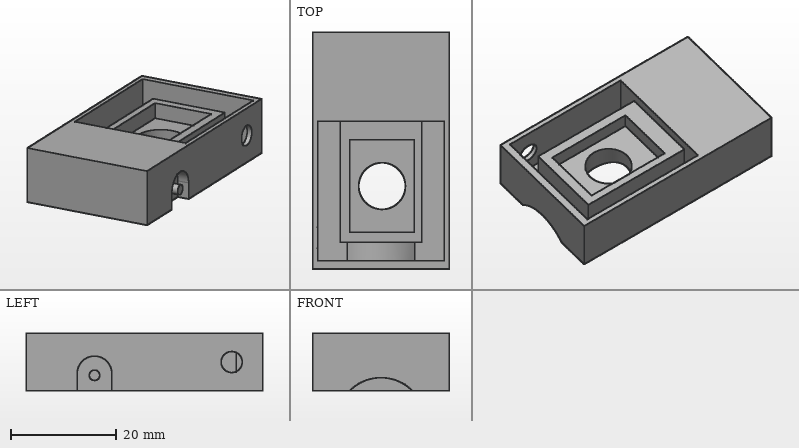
import cadquery as cq

WIDTH, LENGTH, HEIGHT = 26.0, 45.0, 11.0

SIDE_WALL = 1.0
FRONT_WALL = 1.55
POCKET_BACK = 28.1
FLOOR = 1.0

PEDESTAL_LEFT, PEDESTAL_RIGHT = 5.2, 20.8
PEDESTAL_FRONT = 5.05
PEDESTAL_TOP = 8.9

RECESS_LEFT, RECESS_RIGHT = 7.1, 19.3
RECESS_FRONT, RECESS_BACK = 6.98, 24.52
RECESS_FLOOR = 5.85
HOLE_DIAMETER = 8.8

GROOVE_WIDTH = 11.95
GROOVE_HEIGHT = 2.5
SHELL = FLOOR
GROOVE_RADIUS = ((GROOVE_WIDTH / 2) ** 2 + GROOVE_HEIGHT ** 2) / (2 * GROOVE_HEIGHT)
GROOVE_AXIS_Z = GROOVE_HEIGHT - GROOVE_RADIUS

SIDE_HOLE_DIAMETER = 4.0
SIDE_HOLE_Y, SIDE_HOLE_Z = 5.95, 5.5

NOTCH_WIDTH = 6.55
NOTCH_TOP = 6.6
NOTCH_DEPTH = 2.35
NOTCH_Y = 32.0
PIN_DIAMETER = 2.0
PIN_Z = 2.95


def box(x_range, y_range, z_range):
    """Box between the given limits."""
    sizes = [high - low for low, high in (x_range, y_range, z_range)]
    corner = (x_range[0], y_range[0], z_range[0])
    return cq.Workplane("XY").box(*sizes, centered=False).translate(corner)


def cylinder_along_x(diameter, y, z, x_start, x_end):
    """Cylinder parallel to X."""
    return cq.Workplane("YZ", origin=(x_start, y, z)).circle(diameter / 2).extrude(x_end - x_start)


def groove_cylinder(radius, y_start, y_end):
    """Cylinder about the groove axis, parallel to Y."""
    plane = cq.Workplane("XZ", origin=(WIDTH / 2, y_start, GROOVE_AXIS_Z))
    return plane.circle(radius).extrude(y_start - y_end)


def pocket():
    """Pocket space around the pedestal and above the groove shell."""
    space = box((SIDE_WALL, WIDTH - SIDE_WALL), (FRONT_WALL, POCKET_BACK), (FLOOR, HEIGHT))
    pedestal = box((PEDESTAL_LEFT, PEDESTAL_RIGHT), (PEDESTAL_FRONT, POCKET_BACK), (FLOOR, PEDESTAL_TOP))
    shell = groove_cylinder(GROOVE_RADIUS + SHELL, 0, POCKET_BACK)
    return space.cut(pedestal).cut(shell)


def recess():
    """Rectangular recess with the through hole at its centre."""
    space = box((RECESS_LEFT, RECESS_RIGHT), (RECESS_FRONT, RECESS_BACK), (RECESS_FLOOR, HEIGHT))
    centre = ((RECESS_LEFT + RECESS_RIGHT) / 2, (RECESS_FRONT + RECESS_BACK) / 2)
    hole = cq.Workplane("XY").center(*centre).circle(HOLE_DIAMETER / 2).extrude(HEIGHT)
    return space.union(hole)


def notch():
    """Round-topped notch, open at the bottom, leaving the pin standing."""
    radius = NOTCH_WIDTH / 2
    arch_z = NOTCH_TOP - radius
    arch = cylinder_along_x(NOTCH_WIDTH, NOTCH_Y, arch_z, 0, NOTCH_DEPTH)
    legs = box((0, NOTCH_DEPTH), (NOTCH_Y - radius, NOTCH_Y + radius), (0, arch_z))
    pin = cylinder_along_x(PIN_DIAMETER, NOTCH_Y, PIN_Z, 0, NOTCH_DEPTH)
    return arch.union(legs).cut(pin)


block = box((0, WIDTH), (0, LENGTH), (0, HEIGHT))
groove = groove_cylinder(GROOVE_RADIUS, 0, POCKET_BACK)
side_hole = cylinder_along_x(SIDE_HOLE_DIAMETER, SIDE_HOLE_Y, SIDE_HOLE_Z, 0, SIDE_WALL)

result = block.cut(pocket()).cut(recess()).cut(groove).cut(side_hole).cut(notch())